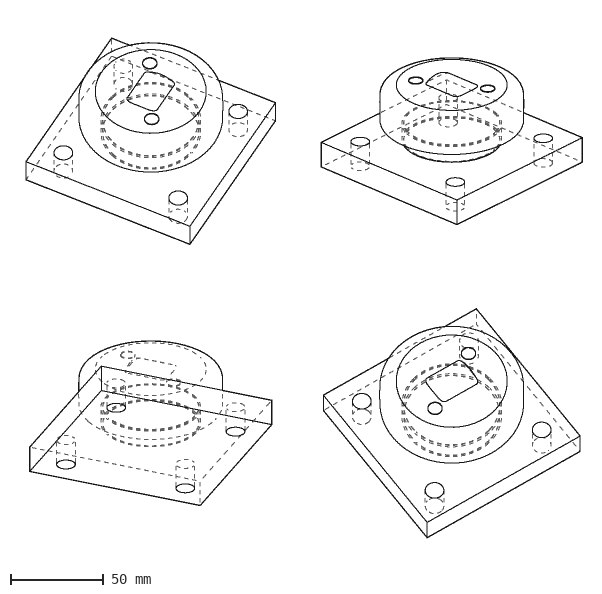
import cadquery as cq
import math

plate_side = 100.0
plate_height = 15.0
hole_diameter = 10.1
hole_spacing = 70.0

shaft_diameter = 54.0
shaft_bottom = 15.4
shaft_top = 24.9
relief_diameter = 52.0

head_diameter = 77.9
head_bottom = 25.5
head_top = 48.5
crown_drop = 0.05
lower_round = 2.0
upper_round = 4.0
cone_slope = math.radians(20)
cone_top_diameter = 60.0

pin_diameter = 7.8
pin_height = 0.4
pin_circle_diameter = 40.0
pin_angle = 119.0

side_roller_top = 51.5
side_roller_radius = 15.5
side_roller_length = 24.4
side_roller_round = 2.3


def disc(diameter, bottom, top):
    return cq.Workplane("XY").workplane(offset=bottom).circle(diameter / 2).extrude(top - bottom)


def mounting_plate():
    plate = cq.Workplane("XY").box(plate_side, plate_side, plate_height, centered=(True, True, False))
    hole_centers = plate.faces(">Z").workplane().rect(hole_spacing, hole_spacing, forConstruction=True).vertices()
    return hole_centers.hole(hole_diameter)


def main_roller():
    crown_radius = head_diameter / 2
    wall_radius = crown_radius - crown_drop
    wall_bottom = head_bottom + lower_round
    cone_top_radius = cone_top_diameter / 2
    corner_height = head_top - (wall_radius - cone_top_radius) * math.tan(cone_slope)
    tangent_length = upper_round * math.tan((math.pi / 2 - cone_slope) / 2)
    wall_top = corner_height - tangent_length
    cone_start = (
        wall_radius - tangent_length * math.cos(cone_slope),
        corner_height + tangent_length * math.sin(cone_slope),
    )
    profile = (
        cq.Workplane("XZ")
        .moveTo(0, head_bottom)
        .lineTo(wall_radius - lower_round, head_bottom)
        .radiusArc((wall_radius, wall_bottom), -lower_round)
        .threePointArc((crown_radius, (wall_bottom + wall_top) / 2), (wall_radius, wall_top))
        .radiusArc(cone_start, -upper_round)
        .lineTo(cone_top_radius, head_top)
        .lineTo(0, head_top)
        .close()
    )
    return profile.revolve(360, (0, 0, 0), (0, 1, 0))


def side_roller():
    roller = (
        cq.Workplane("XZ")
        .center(0, side_roller_top - side_roller_radius)
        .circle(side_roller_radius)
        .extrude(side_roller_length / 2, both=True)
        .edges("%CIRCLE")
        .fillet(side_roller_round)
    )
    clearance = disc(head_diameter, head_top - pin_height, side_roller_top)
    return roller.intersect(clearance)


def pins():
    return (
        cq.Workplane("XY")
        .workplane(offset=head_top)
        .polarArray(pin_circle_diameter / 2, pin_angle, 360, 2)
        .circle(pin_diameter / 2)
        .extrude(pin_height)
    )


result = (
    mounting_plate()
    .union(disc(relief_diameter, plate_height, head_bottom))
    .union(disc(shaft_diameter, shaft_bottom, shaft_top))
    .union(main_roller())
    .union(side_roller())
    .union(pins())
)